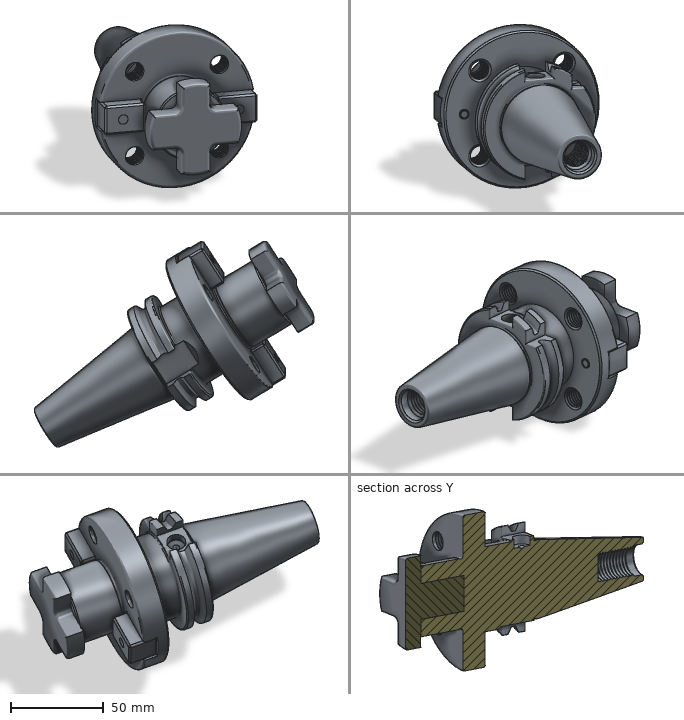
import cadquery as cq
import math


TOTAL_LENGTH = 155.4
GAUGE_X = 68.8
GAUGE_RADIUS = 22.4
TAPER_SLOPE = 7 / 48
SMALL_END_RADIUS = GAUGE_RADIUS - GAUGE_X * TAPER_SLOPE
SMALL_END_FILLET = 1.1
RELIEF_RADIUS = 22.0
RELIEF_START_X = 70.0
RELIEF_FILLET = 0.6

BORE_MOUTH_RADIUS = 9.6
BORE_PILOT_RADIUS = 8.5
BORE_PILOT_DEPTH = 5.9
BORE_THREAD_RADIUS = 7.1
BORE_THREAD_DEPTH = 1.0
BORE_THREAD_PITCH = 2.0
BORE_THREAD_TURNS = 11

GRIP_START_X = 71.5
GRIP_LENGTH = 15.7
GRIP_END_X = GRIP_START_X + GRIP_LENGTH
GRIP_DIAMETER = 63.5
GRIP_RADIUS = GRIP_DIAMETER / 2
GRIP_FILLET = 0.8
GROOVE_X = 79.4
GROOVE_FLOOR_RADIUS = 28.0
GROOVE_FLOOR_WIDTH = 2.6
GROOVE_FLANK_ANGLE = 30
GROOVE_FILLET = 0.8

SLOT_WIDTH = 16.2
TOP_SLOT_FLOOR = 25.0
BOTTOM_SLOT_FLOOR = 22.8
BOTTOM_SLOT_END_X = 92.5
BOTTOM_SLOT_RUNOUT = 2.6
NOTCH_CORNER = 18.3

CHIP_HOLE_RADIUS = 5.1
CHIP_HOLE_DEPTH = 5.0
CHIP_PIT_RADIUS = 1.9
CHIP_PIT_DEPTH = 1.1

NECK_RADIUS = 24.1
NECK_FILLET = 0.8
FLANGE_START_X = 103.2
FLANGE_END_X = 118.1
FLANGE_RADIUS = 44.0
FLANGE_FRONT_CHAMFER = 1.0
FLANGE_BACK_FILLET = 1.4
MANDREL_RADIUS = 20.0
MANDREL_CHAMFER = 0.8
UNDERCUT_RADIUS = 19.7
UNDERCUT_WIDTH = 1.9
UNDERCUT_FILLET = 0.8

BOLT_OFFSET = 23.8
BOLT_THREAD_RADIUS = 5.1
BOLT_THREAD_DEPTH = 1.2
BOLT_THREAD_PITCH = 1.7
BOLT_THREAD_TURNS = 7

KEY_START_X = 110.0
KEY_END_X = 126.5
KEY_WIDTH = 16.2
KEY_INNER_Y = MANDREL_RADIUS
KEY_OUTER_Y = 42.7
KEY_CHAMFER = 1.1
KEY_SCREW_Y = 32.6
KEY_SCREW_RADIUS = 2.6
KEY_SCREW_CHAMFER = 0.6

HEAD_START_X = 145.3
HEAD_RADIUS = 26.0
HEAD_EDGE_FILLET = 1.9
ARM_HALF_WIDTH_Z = 8.1
ARM_HALF_WIDTH_Y = 10.0
ARM_CORNER_FILLET = 3.7
SHANK_RADIUS = 10.0
SHANK_LENGTH = 28.0

SIDES = (1, -1)
CUT_MARGIN = 1.5


def cylinder(radius, start_x, end_x, y=0.0):
    """Cylinder along X."""
    return cq.Workplane("YZ", origin=(start_x, y, 0)).circle(radius).extrude(end_x - start_x)


def block(x_range, y_range, z_range):
    """Box given by its limits along each axis."""
    corner = cq.Vector(x_range[0], y_range[0], z_range[0])
    size = [high - low for low, high in (x_range, y_range, z_range)]
    return cq.Workplane(cq.Solid.makeBox(*size, corner))


def revolve_about_x(points):
    """Solid of revolution about the X axis from (x, radius) points."""
    return cq.Workplane("XZ").polyline(points).close().revolve(360, (0, 0, 0), (1, 0, 0))


def thread_points(start_x, radius, depth, pitch, turns):
    """(x, radius) points of a thread drawn as a row of V-shaped ring grooves."""
    points = []
    for turn in range(turns):
        turn_x = start_x + turn * pitch
        points.append((turn_x, radius))
        points.append((turn_x + pitch / 2, radius + depth))
    points.append((start_x + turns * pitch, radius))
    return points


def turned_body():
    """Taper, neck, main flange and mandrel, without the gripper flange."""
    relief_slope = GAUGE_RADIUS - RELIEF_RADIUS
    undercut_slope = MANDREL_RADIUS - UNDERCUT_RADIUS
    undercut_end = FLANGE_END_X + UNDERCUT_WIDTH
    taper_angle = math.atan(TAPER_SLOPE)
    fillet_center_radius = (
        SMALL_END_RADIUS + SMALL_END_FILLET * TAPER_SLOPE - SMALL_END_FILLET / math.cos(taper_angle)
    )
    fillet_end = (
        SMALL_END_FILLET * (1 - math.sin(taper_angle)),
        fillet_center_radius + SMALL_END_FILLET * math.cos(taper_angle),
    )
    return (
        cq.Workplane("XZ")
        .lineTo(0, fillet_center_radius)
        .radiusArc(fillet_end, SMALL_END_FILLET)
        .lineTo(GAUGE_X, GAUGE_RADIUS)
        .lineTo(RELIEF_START_X, GAUGE_RADIUS)
        .lineTo(RELIEF_START_X + relief_slope, RELIEF_RADIUS)
        .lineTo(GRIP_START_X - RELIEF_FILLET, RELIEF_RADIUS)
        .radiusArc((GRIP_START_X, RELIEF_RADIUS + RELIEF_FILLET), -RELIEF_FILLET)
        .lineTo(GROOVE_X, RELIEF_RADIUS + RELIEF_FILLET)
        .lineTo(GROOVE_X, NECK_RADIUS + NECK_FILLET)
        .lineTo(GRIP_END_X, NECK_RADIUS + NECK_FILLET)
        .radiusArc((GRIP_END_X + NECK_FILLET, NECK_RADIUS), -NECK_FILLET)
        .lineTo(FLANGE_START_X, NECK_RADIUS)
        .lineTo(FLANGE_START_X, FLANGE_RADIUS - FLANGE_FRONT_CHAMFER)
        .lineTo(FLANGE_START_X + FLANGE_FRONT_CHAMFER, FLANGE_RADIUS)
        .lineTo(FLANGE_END_X - FLANGE_BACK_FILLET, FLANGE_RADIUS)
        .radiusArc((FLANGE_END_X, FLANGE_RADIUS - FLANGE_BACK_FILLET), FLANGE_BACK_FILLET)
        .lineTo(FLANGE_END_X, UNDERCUT_RADIUS + UNDERCUT_FILLET)
        .radiusArc((FLANGE_END_X + UNDERCUT_FILLET, UNDERCUT_RADIUS), -UNDERCUT_FILLET)
        .lineTo(undercut_end, UNDERCUT_RADIUS)
        .lineTo(undercut_end + undercut_slope, MANDREL_RADIUS)
        .lineTo(HEAD_START_X - MANDREL_CHAMFER, MANDREL_RADIUS)
        .lineTo(HEAD_START_X, MANDREL_RADIUS - MANDREL_CHAMFER)
        .lineTo(HEAD_START_X, 0)
        .close()
        .revolve(360, (0, 0, 0), (1, 0, 0))
    )


def gripper_flange():
    """Disc with driving slots and notch, its edges rounded along the whole outline."""
    disc = cylinder(GRIP_RADIUS, GRIP_START_X, GRIP_END_X)
    disc = disc.cut(top_slot()).cut(bottom_slot()).cut(orientation_notch())
    return disc.edges("<X or >X").fillet(GRIP_FILLET)


def taper_bore():
    """Blind bore: 45 degree mouth, plain pilot, 45 degree step, then the thread."""
    mouth_depth = BORE_MOUTH_RADIUS - BORE_PILOT_RADIUS
    thread = thread_points(
        BORE_PILOT_DEPTH + BORE_PILOT_RADIUS - BORE_THREAD_RADIUS,
        BORE_THREAD_RADIUS, BORE_THREAD_DEPTH, BORE_THREAD_PITCH, BORE_THREAD_TURNS,
    )
    outline = [(0, 0), (0, BORE_MOUTH_RADIUS), (mouth_depth, BORE_PILOT_RADIUS)]
    outline += [(BORE_PILOT_DEPTH, BORE_PILOT_RADIUS)]
    outline += thread
    outline += [(thread[-1][0], 0)]
    return revolve_about_x(outline)


def v_groove():
    depth = GRIP_RADIUS + CUT_MARGIN - GROOVE_FLOOR_RADIUS
    half_floor = GROOVE_FLOOR_WIDTH / 2
    half_top = half_floor + depth * math.tan(math.radians(GROOVE_FLANK_ANGLE))
    ring = revolve_about_x([
        (GROOVE_X - half_top, GRIP_RADIUS + CUT_MARGIN),
        (GROOVE_X - half_floor, GROOVE_FLOOR_RADIUS),
        (GROOVE_X + half_floor, GROOVE_FLOOR_RADIUS),
        (GROOVE_X + half_top, GRIP_RADIUS + CUT_MARGIN),
    ])
    return ring.edges(cq.selectors.RadiusNthSelector(0)).fillet(GROOVE_FILLET)


def top_slot():
    reach = GRIP_RADIUS + CUT_MARGIN
    half = SLOT_WIDTH / 2
    return block((GRIP_START_X, GRIP_END_X), (-half, half), (TOP_SLOT_FLOOR, reach))


def bottom_slot():
    """Slot whose floor rises out of the neck along a runout slope."""
    reach = GRIP_RADIUS + CUT_MARGIN
    return (
        cq.Workplane("XZ", origin=(0, SLOT_WIDTH / 2, 0))
        .moveTo(GRIP_START_X, -reach)
        .lineTo(GRIP_START_X, -BOTTOM_SLOT_FLOOR)
        .lineTo(BOTTOM_SLOT_END_X, -BOTTOM_SLOT_FLOOR)
        .lineTo(BOTTOM_SLOT_END_X + BOTTOM_SLOT_RUNOUT, -NECK_RADIUS)
        .lineTo(BOTTOM_SLOT_END_X + BOTTOM_SLOT_RUNOUT, -reach)
        .close()
        .extrude(SLOT_WIDTH)
    )


def orientation_notch():
    reach = GRIP_RADIUS + CUT_MARGIN
    return block((GRIP_START_X, GRIP_END_X), (-reach, -NOTCH_CORNER), (NOTCH_CORNER, reach))


def chip_hole():
    """Flat-bottomed hole in the floor of the top slot, with a conical pit in its bottom."""
    bottom_z = TOP_SLOT_FLOOR - CHIP_HOLE_DEPTH
    bottom = cq.Workplane("XY", origin=(GROOVE_X, 0, bottom_z))
    hole = bottom.circle(CHIP_HOLE_RADIUS).extrude(CHIP_HOLE_DEPTH)
    pit = cq.Solid.makeCone(
        CHIP_PIT_RADIUS, 0, CHIP_PIT_DEPTH, cq.Vector(GROOVE_X, 0, bottom_z), cq.Vector(0, 0, -1)
    )
    return hole.union(cq.Workplane(pit))


def bolt_hole(y, z):
    """Threaded hole through the main flange; half a groove opens in the front face."""
    thread = thread_points(
        FLANGE_START_X + BOLT_THREAD_PITCH / 2,
        BOLT_THREAD_RADIUS, BOLT_THREAD_DEPTH, BOLT_THREAD_PITCH, BOLT_THREAD_TURNS,
    )
    outline = [(FLANGE_START_X, 0), (FLANGE_START_X, BOLT_THREAD_RADIUS + BOLT_THREAD_DEPTH)]
    outline += thread
    outline += [(FLANGE_END_X, BOLT_THREAD_RADIUS), (FLANGE_END_X, 0)]
    return revolve_about_x(outline).translate((0, y, z))


def key_slot(side):
    """Seat of a drive key, also clearing the undercut fillet along the length of the key."""
    outer = FLANGE_RADIUS + CUT_MARGIN
    y_range = sorted((side * KEY_INNER_Y, side * outer))
    return block((KEY_START_X, KEY_END_X), y_range, (-KEY_WIDTH / 2, KEY_WIDTH / 2))


def screw_hole(side):
    """Hole through flange and key; the key screw fills it."""
    return cylinder(KEY_SCREW_RADIUS, FLANGE_START_X, KEY_END_X, y=side * KEY_SCREW_Y)


def shank():
    """Shank of the retaining screw, which is also the hole it fills."""
    return cylinder(SHANK_RADIUS, HEAD_START_X - SHANK_LENGTH, HEAD_START_X)


def make_arbor():
    arbor = turned_body().union(gripper_flange())
    arbor = arbor.cut(bottom_slot()).cut(v_groove()).cut(chip_hole()).cut(taper_bore())
    for y_side in SIDES:
        for z_side in SIDES:
            arbor = arbor.cut(bolt_hole(y_side * BOLT_OFFSET, z_side * BOLT_OFFSET))
        arbor = arbor.cut(key_slot(y_side)).cut(screw_hole(y_side))
    return arbor.cut(shank())


def make_drive_key(side):
    """Block with all edges chamfered, set into the flange against the mandrel."""
    y_range = sorted((side * KEY_INNER_Y, side * KEY_OUTER_Y))
    key = block((KEY_START_X, KEY_END_X), y_range, (-KEY_WIDTH / 2, KEY_WIDTH / 2))
    key = key.edges().chamfer(KEY_CHAMFER)
    return key.cut(screw_hole(side))


def make_key_screw(side):
    """Plain shank through key and flange, its chamfered tip flush with the flange face."""
    return screw_hole(side).faces("<X").chamfer(KEY_SCREW_CHAMFER)


def make_retaining_screw():
    """Cross-shaped head with rounded arm ends, and the shank that holds it in the mandrel."""
    diameter = 2 * HEAD_RADIUS
    thickness = TOTAL_LENGTH - HEAD_START_X
    seat = cq.Workplane("YZ", origin=(HEAD_START_X, 0, 0))
    z_arms = seat.rect(2 * ARM_HALF_WIDTH_Z, diameter).extrude(thickness)
    y_arms = seat.rect(diameter, 2 * ARM_HALF_WIDTH_Y).extrude(thickness)
    cross = z_arms.union(y_arms)
    inner_corners = cq.selectors.BoxSelector(
        (HEAD_START_X, -HEAD_RADIUS / 2, -HEAD_RADIUS / 2),
        (TOTAL_LENGTH, HEAD_RADIUS / 2, HEAD_RADIUS / 2),
    )
    cross = cross.edges("|X").edges(inner_corners).fillet(ARM_CORNER_FILLET)
    head = cross.intersect(cylinder(HEAD_RADIUS, HEAD_START_X, TOTAL_LENGTH))
    head = head.faces(">X").edges().fillet(HEAD_EDGE_FILLET)
    return head.union(shank())


arbor = make_arbor()
drive_keys = [make_drive_key(side) for side in SIDES]
key_screws = [make_key_screw(side) for side in SIDES]
retaining_screw = make_retaining_screw()

result = cq.Compound.makeCompound([
    arbor.val(),
    *[key.val() for key in drive_keys],
    *[screw.val() for screw in key_screws],
    retaining_screw.val(),
])